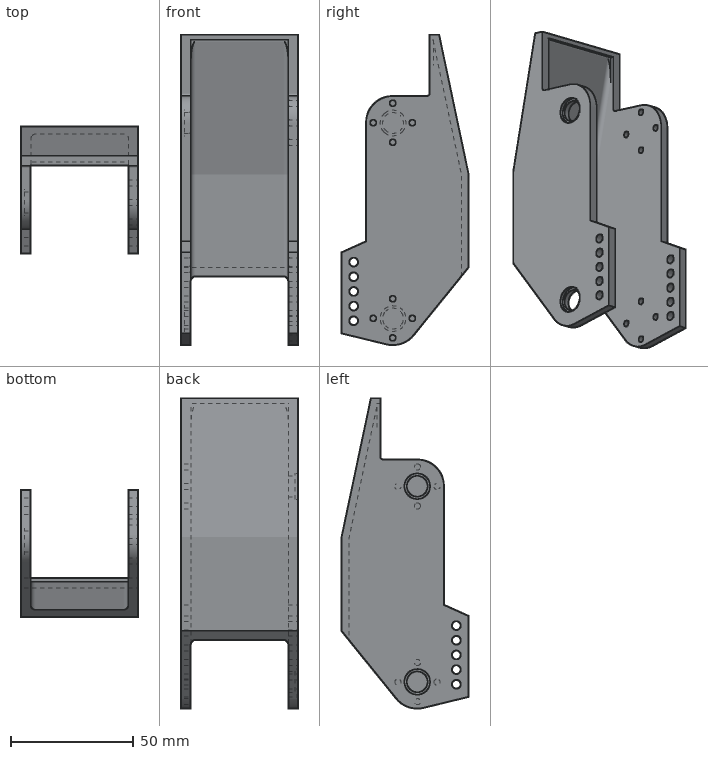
import cadquery as cq
import math


width = 48.0
wall_thickness = 4.0
back_thickness = 3.0
pivot_spacing = 80.0
pivot_radius = 11.0

back_y = 31.0
top_back_y = 19.0
top_front_y = 15.0
body_front_y = -pivot_radius
tab_front_y = -21.0

top_z = 116.0
shelf_z = pivot_spacing + pivot_radius
bend_z = 59.2
knee_z = 20.8
shoulder_z = 31.5
tab_top_z = 27.0
tab_bottom_z = -6.2
shelf_corner_radius = 1.0

lip_height = 2.0
lip_recess = 1.5
channel_fillet = 2.0
channel_overrun = 10.0

bearing_diameter = 10.5
bearing_depth = 1.5
pivot_bore_diameter = 8.5
horn_hole_diameter = 2.5
horn_hole_offset = 8.0
tab_hole_diameter = 3.5
tab_hole_y = -16.0
tab_hole_pitch = 6.0
tab_hole_count = 5
tab_hole_middle_z = 11.0

inner_half_width = width / 2 - wall_thickness
pivot_heights = (0.0, pivot_spacing)


def tangent_point(y, z, side):
    """Point where a line from (y, z) touches the lower pivot's rounding.

    A side of 1 turns counterclockwise from the point's direction, -1 clockwise.
    """
    angle = math.atan2(z, y) + side * math.acos(pivot_radius / math.hypot(y, z))
    return pivot_radius * math.cos(angle), pivot_radius * math.sin(angle)


def make_body():
    """Side profile swept across the full width."""
    diagonal = pivot_radius / math.sqrt(2)
    outline = (
        cq.Workplane("YZ", origin=(-width / 2, 0, 0))
        .moveTo(top_back_y, top_z)
        .lineTo(top_front_y, top_z)
        .lineTo(top_front_y, shelf_z + shelf_corner_radius)
        .radiusArc((top_front_y - shelf_corner_radius, shelf_z), shelf_corner_radius)
        .lineTo(0, shelf_z)
        .threePointArc((-diagonal, pivot_spacing + diagonal), (body_front_y, pivot_spacing))
        .lineTo(body_front_y, shoulder_z)
        .lineTo(tab_front_y, tab_top_z)
        .lineTo(tab_front_y, tab_bottom_z)
        .lineTo(*tangent_point(tab_front_y, tab_bottom_z, 1))
        .threePointArc((0, -pivot_radius), tangent_point(back_y, knee_z, -1))
        .lineTo(back_y, knee_z)
        .lineTo(back_y, bend_z)
        .close()
    )
    return outline.extrude(width)


def make_channel():
    """Space between the walls, with a floor parallel to the bent back plate."""
    slope = (back_y - top_back_y) / (top_z - bend_z)
    lean = math.atan(slope)
    floor_y = back_y - back_thickness
    floor_bend_z = bend_z - back_thickness * math.tan(lean / 2)
    channel_top_z = top_z - lip_height
    floor_top_y = floor_y - slope * (channel_top_z - floor_bend_z)
    below_z = -pivot_radius - channel_overrun
    front_y = tab_front_y - channel_overrun

    channel = (
        cq.Workplane("YZ", origin=(-inner_half_width, 0, 0))
        .moveTo(front_y, below_z)
        .lineTo(floor_y, below_z)
        .lineTo(floor_y, floor_bend_z)
        .lineTo(floor_top_y, channel_top_z)
        .lineTo(front_y, channel_top_z)
        .close()
        .extrude(2 * inner_half_width)
    )
    margin = lip_height / 10
    floor_finder = cq.selectors.BoxSelector(
        (-width, floor_top_y - margin, below_z + margin),
        (width, floor_y + margin, channel_top_z - margin),
    )
    channel = channel.edges(floor_finder).edges("not(|X)").fillet(channel_fillet)

    flat_y = top_front_y + lip_recess
    square_mouth = (
        cq.Workplane("XY", origin=(0, front_y, below_z))
        .box(
            2 * inner_half_width,
            flat_y - front_y,
            channel_top_z - below_z,
            centered=(True, False, False),
        )
    )
    return channel.union(square_mouth)


def cylinder(diameter, start_x, length, y, z):
    """Cylinder along +X from start_x, for cutting a hole at (y, z)."""
    return cq.Workplane("YZ", origin=(start_x, y, z)).circle(diameter / 2).extrude(length)


def cut_pivot_bores(body):
    """Stepped bores in the -X wall, the larger step on its outside."""
    for z in pivot_heights:
        body = body.cut(cylinder(pivot_bore_diameter, -width / 2, wall_thickness, 0, z))
        body = body.cut(cylinder(bearing_diameter, -width / 2, bearing_depth, 0, z))
    return body


def cut_horn_holes(body):
    """Four screw holes around each pivot axis in the +X wall."""
    offsets = (
        (horn_hole_offset, 0),
        (-horn_hole_offset, 0),
        (0, horn_hole_offset),
        (0, -horn_hole_offset),
    )
    for pivot_z in pivot_heights:
        for y, z in offsets:
            hole = cylinder(horn_hole_diameter, inner_half_width, wall_thickness, y, pivot_z + z)
            body = body.cut(hole)
    return body


def cut_tab_holes(body):
    """Row of holes through the front tabs of both walls."""
    for index in range(tab_hole_count):
        z = tab_hole_middle_z + (index - (tab_hole_count - 1) / 2) * tab_hole_pitch
        body = body.cut(cylinder(tab_hole_diameter, -width / 2, width, tab_hole_y, z))
    return body


body = make_body().cut(make_channel())
body = cut_pivot_bores(body)
body = cut_horn_holes(body)
result = cut_tab_holes(body)